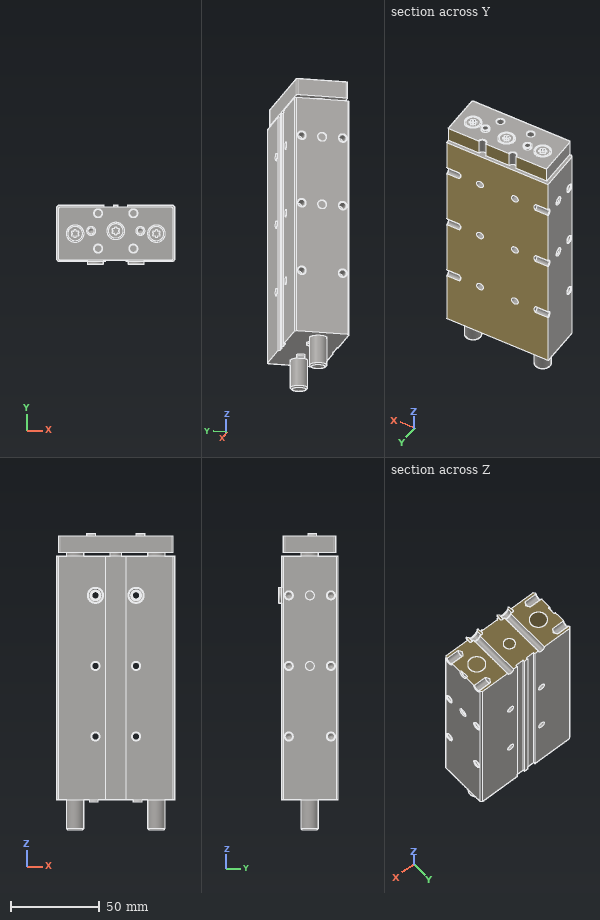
import cadquery as cq
import math


housing_width = 67.0
housing_depth = 32.0
housing_bottom = 17.1
housing_top = 155.3
corner_chamfer = 1.0
front_groove_width = 11.5
front_groove_depth = 0.5
rear_groove_width = 13.1
rear_groove_depth = 1.0
rear_rib_width = 2.5

plate_width = 65.0
plate_depth = 30.0
plate_bottom = 157.3
plate_top = 167.0
plate_corner_radius = 1.0

rod_spacing = 46.0
rod_axis_y = -0.2
rod_diameter = 10.0
rod_end_chamfer = 0.92
piston_rod_diameter = 6.5
piston_axis_y = 1.3
piston_rod_length = 100.9
screw_head_diameter = 10.0
screw_head_height = 5.0
screw_shank_diameter = 5.0
screw_shank_length = 13.5
screw_edge_chamfer = 0.8
socket_core_diameter = 3.2
socket_lobe_diameter = 1.26
socket_lobe_radius = 1.7
socket_lobe_count = 6
socket_depth = 2.0

thread_diameter = 5.0
drill_diameter = 4.2
drill_point_angle = 118.0
mount_column_spacing = 23.0
mount_top_z = 133.1
mount_pitch_z = 40.0
mount_rows = 3
side_hole_spacing_y = 23.9
side_hole_depth = 8.4
port_recess_depth = 1.0
port_rows = 2
plate_hole_diameter = 4.4
plate_hole_spacing = 20.0

sleeve_diameter = 9.0
sleeve_bore = 6.0
sleeve_mouth_chamfer = 1.0
sleeve_rim_chamfer = 0.3
sleeve_protrusion = 1.8
sleeve_seat_depth = 2.2
boss_diameter = 5.0
boss_height = 1.2
top_boss_spacing = 27.9
bottom_boss_spacing = 24.9
boss_hole_diameter = 3.5
boss_hole_depth = 6.7

front_y = -housing_depth / 2
rear_y = housing_depth / 2
housing_height = housing_top - housing_bottom
plate_thickness = plate_top - plate_bottom
piston_rod_bottom = plate_bottom - piston_rod_length
mount_heights = [mount_top_z - row * mount_pitch_z for row in range(mount_rows)]
mount_columns = [-mount_column_spacing / 2, mount_column_spacing / 2]
rod_columns = [-rod_spacing / 2, rod_spacing / 2]
screw_points = [(rod_columns[0], rod_axis_y), (0, piston_axis_y), (rod_columns[1], rod_axis_y)]


def box(x_size, y_low, y_high, z_low, z_high):
    """Box centred on X = 0."""
    size_y = y_high - y_low
    size_z = z_high - z_low
    return cq.Workplane(cq.Solid.makeBox(x_size, size_y, size_z, cq.Vector(-x_size / 2, y_low, z_low)))


def cylinder(diameter, length, start, direction=(0, 0, 1)):
    """Solid cylinder that grows from start along direction."""
    return cq.Solid.makeCylinder(diameter / 2, length, cq.Vector(*start), cq.Vector(*direction))


def countersink(diameter, start, direction):
    """45-degree cone that opens a hole of the given diameter to the thread diameter."""
    depth = (thread_diameter - diameter) / 2
    return cq.Solid.makeCone(
        thread_diameter / 2, diameter / 2, depth, cq.Vector(*start), cq.Vector(*direction)
    )


def drilled_hole(diameter, start, direction, depth):
    """Blind hole with a conical drill point."""
    start = cq.Vector(*start)
    direction = cq.Vector(*direction)
    radius = diameter / 2
    point_length = radius / math.tan(math.radians(drill_point_angle / 2))
    straight = cq.Solid.makeCylinder(radius, depth, start, direction)
    point = cq.Solid.makeCone(radius, 0, point_length, start + direction * depth, direction)
    return straight.fuse(point)


def screw_blank(x, y):
    """Head and shank of a plate screw without its edge chamfer and socket."""
    head = cylinder(screw_head_diameter, screw_head_height, (x, y, plate_top), (0, 0, -1))
    shank = cylinder(screw_shank_diameter, screw_shank_length, (x, y, plate_top), (0, 0, -1))
    return cq.Workplane(head).union(cq.Workplane(shank))


def make_screw(x, y):
    """Flush screw with a chamfered head and a six-lobe socket."""
    socket = cq.Workplane(cylinder(socket_core_diameter, socket_depth, (x, y, plate_top), (0, 0, -1)))
    for lobe in range(socket_lobe_count):
        angle = math.radians(90 + lobe * 360 / socket_lobe_count)
        lobe_x = x + socket_lobe_radius * math.cos(angle)
        lobe_y = y + socket_lobe_radius * math.sin(angle)
        lobe_cutter = cylinder(socket_lobe_diameter, socket_depth, (lobe_x, lobe_y, plate_top), (0, 0, -1))
        socket = socket.union(cq.Workplane(lobe_cutter))
    return screw_blank(x, y).faces(">Z").edges().chamfer(screw_edge_chamfer).cut(socket).val()


def make_guide_rod(x):
    """Rod that hangs from the plate, tapped at the top for its screw."""
    rod = cq.Workplane(cylinder(rod_diameter, plate_bottom, (x, rod_axis_y, 0)))
    return rod.faces("<Z").edges().chamfer(rod_end_chamfer).cut(screw_blank(x, rod_axis_y)).val()


def make_piston_rod():
    """Rod from the plate down into the housing, tapped at the top for its screw."""
    start = (0, piston_axis_y, piston_rod_bottom)
    rod = cq.Workplane(cylinder(piston_rod_diameter, piston_rod_length, start))
    return rod.cut(screw_blank(0, piston_axis_y)).val()


def make_sleeve(x):
    """Centring sleeve around a top mounting hole, with a chamfered mouth."""
    length = sleeve_protrusion + sleeve_seat_depth
    start = (x, front_y - sleeve_protrusion, mount_top_z)
    ring = cq.Workplane(cylinder(sleeve_diameter, length, start, (0, 1, 0)))
    ring = ring.cut(cq.Workplane(cylinder(sleeve_bore, length, start, (0, 1, 0))))
    ring = ring.faces("<Y").edges(cq.selectors.RadiusNthSelector(0)).chamfer(sleeve_mouth_chamfer)
    ring = ring.faces("<Y").edges(cq.selectors.RadiusNthSelector(1)).chamfer(sleeve_rim_chamfer)
    return ring.val()


def make_plate():
    """End plate with three screw seats, four holes and two hollow locating bosses."""
    plate_front_y = rod_axis_y - plate_depth / 2
    plate_rear_y = rod_axis_y + plate_depth / 2
    plate = box(plate_width, plate_front_y, plate_rear_y, plate_bottom, plate_top)
    plate = plate.edges("|Z").fillet(plate_corner_radius)

    for x, y in screw_points:
        plate = plate.cut(screw_blank(x, y))

    half = plate_hole_spacing / 2
    for x in (-half, half):
        for y in (piston_axis_y - half, piston_axis_y + half):
            hole = cylinder(plate_hole_diameter, plate_thickness, (x, y, plate_bottom))
            mouth = countersink(plate_hole_diameter, (x, y, plate_top), (0, 0, -1))
            plate = plate.cut(cq.Workplane(hole)).cut(cq.Workplane(mouth))

    boss_top = plate_top + boss_height
    for x in (-top_boss_spacing / 2, top_boss_spacing / 2):
        boss = cylinder(boss_diameter, boss_height, (x, piston_axis_y, plate_top))
        plate = plate.union(cq.Workplane(boss))
        hole = drilled_hole(boss_hole_diameter, (x, piston_axis_y, boss_top), (0, 0, -1), boss_hole_depth)
        plate = plate.cut(cq.Workplane(hole))
    return plate.val()


def housing_block():
    """Chamfered block with a groove down the front, and a groove with a central rib down the rear."""
    block = box(housing_width, front_y, rear_y, housing_bottom, housing_top)
    block = block.edges("|Z").chamfer(corner_chamfer)
    front_floor_y = front_y + front_groove_depth
    rear_floor_y = rear_y - rear_groove_depth
    front_groove = box(front_groove_width, front_y, front_floor_y, housing_bottom, housing_top)
    rear_groove = box(rear_groove_width, rear_floor_y, rear_y, housing_bottom, housing_top)
    rear_rib = box(rear_rib_width, rear_floor_y, rear_y, housing_bottom, housing_top)
    return block.cut(front_groove).cut(rear_groove).union(rear_rib)


def make_housing():
    """Housing with its bores, mounting holes, sleeve seats, ports and bottom bosses."""
    housing = housing_block()

    for x in (-bottom_boss_spacing / 2, bottom_boss_spacing / 2):
        boss = cylinder(boss_diameter, boss_height, (x, piston_axis_y, housing_bottom), (0, 0, -1))
        housing = housing.union(cq.Workplane(boss))

    cutters = []

    for x in rod_columns:
        cutters.append(cylinder(rod_diameter, housing_height, (x, rod_axis_y, housing_bottom)))
    cutters.append(
        cylinder(piston_rod_diameter, piston_rod_length, (0, piston_axis_y, piston_rod_bottom))
    )

    for z in mount_heights:
        for x in mount_columns:
            is_sleeved = z == mount_top_z
            mouth_y = front_y + sleeve_seat_depth if is_sleeved else front_y
            cutters.append(cylinder(drill_diameter, housing_depth, (x, front_y, z), (0, 1, 0)))
            cutters.append(countersink(drill_diameter, (x, mouth_y, z), (0, 1, 0)))
            if is_sleeved:
                cutters.append(cylinder(sleeve_diameter, sleeve_seat_depth, (x, front_y, z), (0, 1, 0)))

    for side in (-1, 1):
        side_x = side * housing_width / 2
        inward = (-side, 0, 0)
        for z in mount_heights:
            for y in (-side_hole_spacing_y / 2, side_hole_spacing_y / 2):
                start = (side_x, y, z)
                cutters.append(drilled_hole(drill_diameter, start, inward, side_hole_depth))
                cutters.append(countersink(drill_diameter, start, inward))
        for z in mount_heights[:port_rows]:
            cutters.append(cylinder(thread_diameter, port_recess_depth, (side_x, 0, z), inward))

    for cutter in cutters:
        housing = housing.cut(cq.Workplane(cutter))
    return housing.val()


housing = make_housing()
plate = make_plate()
guide_rods = [make_guide_rod(x) for x in rod_columns]
piston_rod = make_piston_rod()
screws = [make_screw(x, y) for x, y in screw_points]
sleeves = [make_sleeve(x) for x in mount_columns]

result = cq.Compound.makeCompound([housing, plate, *guide_rods, piston_rod, *screws, *sleeves])